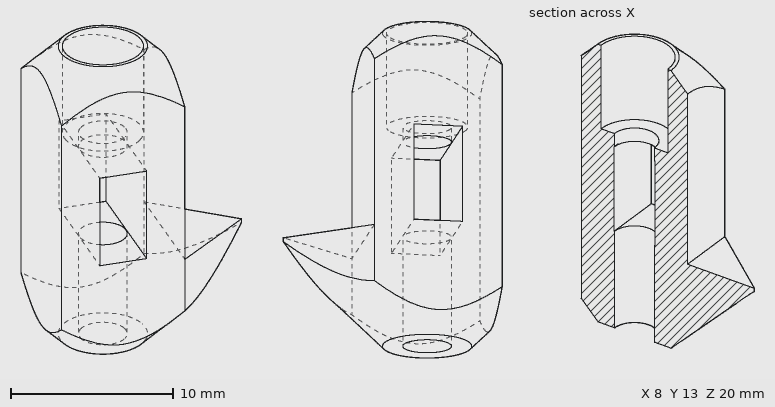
import cadquery as cq

height = 20
body_width = 8
half_width = body_width / 2

end_diameter = 5.5
end_radius = end_diameter / 2

lug_reach = 5
lug_top = 6.5
tip_y = half_width + lug_reach

wide_bore_diameter = 5
narrow_bore_diameter = 3
wide_bore_depth = 6

window_width = 3.05
window_height = 6.08


def make_body_with_lug():
    body = cq.Workplane("XY").rect(body_width, body_width).extrude(height)
    lug = (
        cq.Workplane("XY")
        .polyline([(-half_width, half_width), (half_width, half_width), (0, tip_y)])
        .close()
        .extrude(lug_top)
    )
    return body.union(lug)


def make_turned_envelope():
    """Solid of revolution whose conical ends rise at 45 degrees to beyond the lug tip."""
    outer_radius = end_radius + height / 2
    return (
        cq.Workplane("XZ")
        .polyline([(0, 0), (end_radius, 0), (outer_radius, height / 2), (end_radius, height), (0, height)])
        .close()
        .revolve(360, (0, 0, 0), (0, 1, 0))
    )


def make_stepped_bore():
    narrow = cq.Workplane("XY").circle(narrow_bore_diameter / 2).extrude(height)
    wide = (
        cq.Workplane("XY")
        .workplane(offset=height - wide_bore_depth)
        .circle(wide_bore_diameter / 2)
        .extrude(wide_bore_depth)
    )
    return narrow.union(wide)


def make_window():
    return cq.Workplane("XY").box(body_width, window_width, window_height).translate((0, 0, height / 2))


result = make_body_with_lug().intersect(make_turned_envelope())
result = result.cut(make_stepped_bore()).cut(make_window())